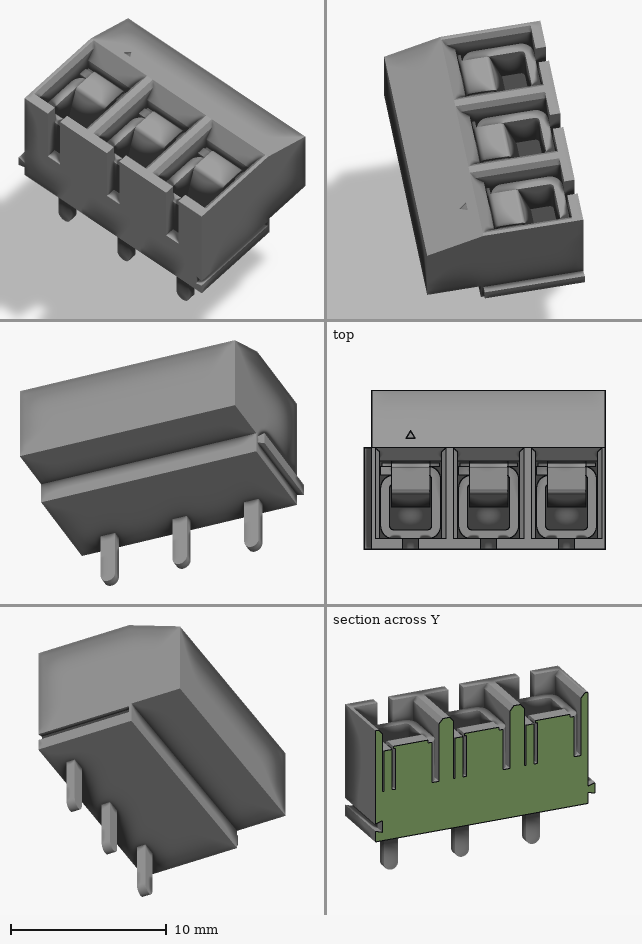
import cadquery as cq
import math


pole_count = 3
pole_pitch = 5.0
first_pole_x = 2.5
housing_length = 15.0
housing_depth = 10.2
housing_top = 7.81
back_edge_height = 6.43
roof_ridge_y = 6.53
base_depth = 6.7
base_height = 1.4

rail_reach = 0.5
rail_tip_bottom = 0.62
rail_tip_top = base_height
rail_taper = 0.15

floor_z = 3.47
pocket_front_y = 0.68
pocket_back_y = 5.65
pocket_half_width = 1.98
side_flare = 0.28
side_flare_height = 0.33
back_flare_height = 1.02
slot_width = 1.04

strip_thickness = 0.57
cage_half_width = 1.92
cage_back_y = 5.33
cage_top = 6.3
cage_inner_radius = 0.25

guard_thickness = 0.2
guard_shoulder_half_width = 1.85
guard_shoulder_drop = 0.08
guard_tab_width = 2.48
guard_bend_radius = 0.26
guard_nose_y = 3.61
guard_foot_y = 2.71

screw_diameter = 2.48
pin_width = 1.0
pin_thickness = 0.6
pin_front_y = 1.0
pin_length = 3.58
mark_width = 0.59
mark_length = 0.51
mark_front_y = 7.15
mark_depth = 0.1


def block(x_range, y_range, z_range):
    """Box spanning the given (low, high) ranges."""
    (x0, x1), (y0, y1), (z0, z1) = x_range, y_range, z_range
    return cq.Workplane("XY").box(x1 - x0, y1 - y0, z1 - z0, centered=False).translate((x0, y0, z0))


def prism_along_x(points, x_start, length):
    """Extrude a (y, z) outline along +X."""
    return cq.Workplane("YZ").polyline(points).close().extrude(length).translate((x_start, 0, 0))


def prism_along_y(points, y_start, length):
    """Extrude an (x, z) outline along +Y."""
    return cq.Workplane("XZ").polyline(points).close().extrude(-length).translate((0, y_start, 0))


def housing_body():
    outline = [
        (0, 0),
        (base_depth, 0),
        (base_depth, base_height),
        (housing_depth, base_height),
        (housing_depth, back_edge_height),
        (roof_ridge_y, housing_top),
        (0, housing_top),
    ]
    return prism_along_x(outline, 0, housing_length)


def dovetail(root_x, length):
    """Dovetail bar growing towards -X from its narrow root, starting at the front."""
    outline = [
        (root_x, rail_tip_bottom + rail_taper),
        (root_x, rail_tip_top - rail_taper),
        (root_x - rail_reach, rail_tip_top),
        (root_x - rail_reach, rail_tip_bottom),
    ]
    return prism_along_y(outline, 0, length)


def pocket():
    """Pocket centred on X = 0; side and back flares meet in mitred corners."""
    top_half_width = pocket_half_width + side_flare
    flare_start = housing_top - side_flare_height
    across = [
        (-pocket_half_width, floor_z),
        (pocket_half_width, floor_z),
        (pocket_half_width, flare_start),
        (top_half_width, housing_top),
        (-top_half_width, housing_top),
        (-pocket_half_width, flare_start),
    ]
    along = [
        (pocket_front_y, floor_z),
        (pocket_back_y, floor_z),
        (pocket_back_y, housing_top - back_flare_height),
        (roof_ridge_y, housing_top),
        (pocket_front_y, housing_top),
    ]
    width_shape = prism_along_y(across, 0, housing_depth)
    depth_shape = prism_along_x(along, -top_half_width, 2 * top_half_width)
    return width_shape.intersect(depth_shape)


def front_slot():
    return block((-slot_width / 2, slot_width / 2), (0, pocket_front_y), (floor_z, housing_top))


def cage():
    """Strip bent round three corners, closed at the back by its two overlapping ends."""
    radius = cage_inner_radius + strip_thickness / 2
    arc_offset = radius * (1 - math.sqrt(0.5))
    side = cage_half_width - strip_thickness / 2
    bend_x = side - radius
    front = pocket_front_y + strip_thickness / 2
    outer_back = cage_back_y - strip_thickness / 2
    inner_back = outer_back - strip_thickness
    path = (
        cq.Workplane("XY", origin=(0, 0, floor_z))
        .moveTo(-bend_x, inner_back)
        .threePointArc((-side + arc_offset, inner_back - arc_offset), (-side, inner_back - radius))
        .lineTo(-side, front + radius)
        .threePointArc((-side + arc_offset, front + arc_offset), (-bend_x, front))
        .lineTo(bend_x, front)
        .threePointArc((side - arc_offset, front + arc_offset), (side, front + radius))
        .lineTo(side, outer_back - radius)
        .threePointArc((side - arc_offset, outer_back - arc_offset), (bend_x, outer_back))
    )
    section = cq.Workplane("YZ", origin=(-bend_x, inner_back, (floor_z + cage_top) / 2))
    loop = section.rect(strip_thickness, cage_top - floor_z).sweep(path)

    layer_joint_y = cage_back_y - strip_thickness
    heights = (floor_z, cage_top)
    inner_end = block((-bend_x, bend_x), (layer_joint_y - strip_thickness, layer_joint_y), heights)
    outer_end = block((-cage_half_width, bend_x), (layer_joint_y, cage_back_y), heights)
    return loop.union(inner_end).union(outer_end)


def wire_guard():
    """Upright plate behind the cage, with a tab over the top and a leg sloping to the floor."""
    back_y = cage_back_y + guard_thickness
    tab_top = cage_top + guard_thickness
    leg_slope = (guard_nose_y - guard_foot_y) / (tab_top - floor_z)
    leg_width = guard_thickness * math.hypot(1, leg_slope)
    leg_inner_top_y = guard_nose_y + leg_width - leg_slope * guard_thickness
    outline = [
        (back_y, floor_z),
        (back_y, tab_top),
        (guard_nose_y, tab_top),
        (guard_foot_y, floor_z),
        (guard_foot_y + leg_width, floor_z),
        (leg_inner_top_y, cage_top),
        (cage_back_y, cage_top),
        (cage_back_y, floor_z),
    ]
    bent_tab = prism_along_x(outline, -guard_tab_width / 2, guard_tab_width)
    bent_tab = bent_tab.faces(">Z").edges("|X").fillet(guard_bend_radius)
    plate = block(
        (-guard_shoulder_half_width, guard_shoulder_half_width),
        (cage_back_y, back_y),
        (floor_z, cage_top - guard_shoulder_drop),
    )
    return bent_tab.union(plate)


def clamp_screw():
    """Screw end bridging the gap between the pocket's back wall and the guard plate."""
    centre = (0, cage_back_y, (floor_z + cage_top) / 2)
    length = pocket_back_y - cage_back_y
    return cq.Workplane("XZ", origin=centre).circle(screw_diameter / 2).extrude(-length)


def pin():
    """Flat solder pin with a fully rounded tip."""
    half = pin_width / 2
    return (
        cq.Workplane("XZ", origin=(0, pin_front_y, 0))
        .moveTo(-half, 0)
        .lineTo(half, 0)
        .lineTo(half, half - pin_length)
        .threePointArc((0, -pin_length), (-half, half - pin_length))
        .close()
        .extrude(-pin_thickness)
    )


def first_pole_mark():
    """Triangle engraved square to the sloping roof."""
    roof_run = housing_depth - roof_ridge_y
    roof_drop = housing_top - back_edge_height
    mark_front_z = housing_top - roof_drop * (mark_front_y - roof_ridge_y) / roof_run
    roof_plane = cq.Plane(
        origin=(first_pole_x, mark_front_y, mark_front_z),
        xDir=(1, 0, 0),
        normal=(0, roof_drop, roof_run),
    )
    corners = [(-mark_width / 2, 0), (mark_width / 2, 0), (0, mark_length)]
    return cq.Workplane(roof_plane).polyline(corners).close().extrude(-mark_depth)


body = housing_body()
body = body.cut(dovetail(housing_length, roof_ridge_y))
body = body.union(dovetail(0, roof_ridge_y))
body = body.cut(first_pole_mark())

pole_opening = pocket().union(front_slot())
pole_metal = cage().union(wire_guard()).union(clamp_screw())

for pole in range(pole_count):
    shift = (first_pole_x + pole * pole_pitch, 0, 0)
    body = body.cut(pole_opening.translate(shift))
    body = body.union(pole_metal.translate(shift))
    body = body.union(pin().translate(shift))

result = body